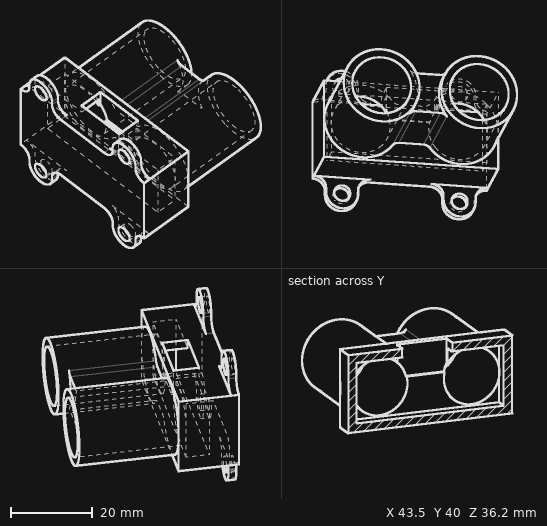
import cadquery as cq
import math

body_width = 43.55
body_depth = 15.15
body_height = 20.1
wall = 2.35

total_depth = 40.0
tube_diameter = 19.0
bore_diameter = 14.7
tube_offset = 12.2

web_height = 10.0
web_setback = 3.0
web_fillet = 2.0

plate_thickness = 2.0
plate_height = 36.2
lug_radius = 4.0
lug_hole_diameter = 4.0
lug_offset_x = 14.67
lug_offset_z = plate_height / 2 - lug_radius
lug_fillet = 3.0

slot_min_x = -7.4
slot_width = 13.2
slot_min_y = 6.95
slot_depth_y = 6.4
slot_floor_z = 1.75


def box(x_min, y_min, z_min, width, depth, height):
    """Box given by its lowest corner and its sizes along X, Y and Z."""
    return cq.Workplane("XY").box(width, depth, height, centered=False).translate((x_min, y_min, z_min))


def cylinder_y(diameter, x, z, y_start, y_end):
    """Cylinder along +Y centred on (x, z)."""
    plane = cq.Workplane("XZ", origin=(x, y_start, z))
    return plane.circle(diameter / 2).extrude(y_start - y_end)


def lug(side_x, side_z):
    """Round-ended lug that flares into the block's edge on both sides."""
    edge_z = body_height / 2
    neck_z = edge_z + lug_fillet
    flare = lug_radius + lug_fillet
    bend = lug_fillet * (1 - 0.5**0.5)
    profile = (
        cq.Workplane("XZ")
        .moveTo(-flare, 0)
        .lineTo(-flare, edge_z)
        .threePointArc((-lug_radius - bend, edge_z + bend), (-lug_radius, neck_z))
        .lineTo(-lug_radius, lug_offset_z)
        .threePointArc((0, lug_offset_z + lug_radius), (lug_radius, lug_offset_z))
        .lineTo(lug_radius, neck_z)
        .threePointArc((lug_radius + bend, edge_z + bend), (flare, edge_z))
        .lineTo(flare, 0)
        .close()
        .extrude(-plate_thickness)
    )
    hole = cylinder_y(lug_hole_diameter, 0, lug_offset_z, 0, plate_thickness)
    shape = profile.cut(hole)
    if side_z < 0:
        shape = shape.mirror("XY")
    return shape.translate((side_x * lug_offset_x, 0, 0))


def web():
    """Plate between the tubes with fillets tangent to its faces and to the tubes."""
    tube_radius = tube_diameter / 2
    face_z = web_height / 2
    center_z = face_z + web_fillet
    center_distance = tube_radius + web_fillet
    center_x = tube_offset - math.sqrt(center_distance**2 - center_z**2)
    length = total_depth - web_setback - body_depth
    touch_x = tube_offset - (tube_offset - center_x) * tube_radius / center_distance
    touch_z = center_z * tube_radius / center_distance
    blank = box(-touch_x, body_depth, -touch_z, 2 * touch_x, length, 2 * touch_z)
    for side_z in (-1, 1):
        groove = box(-center_x, body_depth, face_z, 2 * center_x, length, web_fillet)
        for side_x in (-1, 1):
            groove = groove.union(
                cylinder_y(2 * web_fillet, side_x * center_x, center_z, body_depth, body_depth + length)
            )
        if side_z < 0:
            groove = groove.mirror("XY")
        blank = blank.cut(groove)
    return blank


def cavity():
    """Chamber behind the front wall that joins both bores."""
    width = body_width - 2 * wall
    height = body_height - 2 * wall
    depth = body_depth - wall - slot_min_y
    return box(-width / 2, slot_min_y, -height / 2, width, depth, height)


def top_slot():
    """Opening from the top face into the chamber, notched into the front wall."""
    height = body_height / 2 - slot_floor_z
    return box(slot_min_x, slot_min_y, slot_floor_z, slot_width, slot_depth_y, height)


result = box(-body_width / 2, 0, -body_height / 2, body_width, body_depth, body_height)
result = result.union(web())

for side_x in (-1, 1):
    result = result.union(cylinder_y(tube_diameter, side_x * tube_offset, 0, body_depth, total_depth))
    for side_z in (-1, 1):
        result = result.union(lug(side_x, side_z))

result = result.cut(cavity()).cut(top_slot())
for side_x in (-1, 1):
    result = result.cut(cylinder_y(bore_diameter, side_x * tube_offset, 0, body_depth - wall, total_depth))